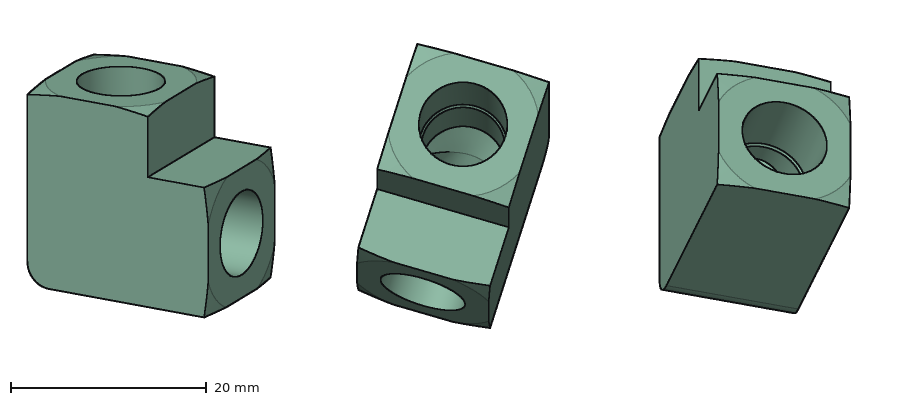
import cadquery as cq
import math

overall_length = 21.13
arm_width = 14.1
heel_radius = 2.54
end_face_radius = 7.73
end_chamfer_angle = 12.0
mouth_radius = 4.52
bore_radius = 4.29
mouth_depth = 7.4
bore_depth = 13.95

arm_axis = arm_width / 2
corner_radius = math.hypot(arm_axis, arm_axis)
chamfer_drop = (corner_radius - end_face_radius) * math.tan(math.radians(end_chamfer_angle))


def elbow_block():
    """L-shaped block with a rounded heel, its width centred on Y = 0."""
    outline = [
        (0, 0),
        (overall_length, 0),
        (overall_length, arm_width),
        (arm_width, arm_width),
        (arm_width, overall_length),
        (0, overall_length),
    ]
    block = cq.Workplane("XZ").polyline(outline).close().extrude(arm_axis, both=True)
    return block.edges("|Y and <X and <Z").fillet(heel_radius)


def revolved_about_upright_axis(profile):
    """Turn a closed (radius, height) profile about the upright arm's axis."""
    turned = cq.Workplane("XZ").polyline(profile).close().revolve(360, (0, 0), (0, 1))
    return turned.translate((arm_axis, 0, 0))


def end_chamfer_cutter():
    """Ring that bevels the four corners of the upright arm's end face."""
    return revolved_about_upright_axis([
        (end_face_radius, overall_length),
        (corner_radius, overall_length),
        (corner_radius, overall_length - chamfer_drop),
    ])


def bore_cutter():
    """Wider mouth with a 45 degree shoulder, then a bore with a 90 degree conical bottom.

    The two bores mirror each other and each stops at the mitre plane X = Z.
    """
    bore_end = overall_length - bore_depth
    shoulder_top = overall_length - mouth_depth
    bore = revolved_about_upright_axis([
        (0, overall_length),
        (mouth_radius, overall_length),
        (mouth_radius, shoulder_top),
        (bore_radius, shoulder_top - (mouth_radius - bore_radius)),
        (bore_radius, bore_end),
        (0, bore_end - bore_radius),
    ])
    upper_side = [(0, 0), (overall_length, overall_length), (0, overall_length)]
    mitre_wedge = cq.Workplane("XZ").polyline(upper_side).close().extrude(arm_axis, both=True)
    return bore.intersect(mitre_wedge)


def for_side_arm(cutter):
    """Swap X and Z by mirroring in Z = 0 and turning a quarter about Y."""
    return cutter.mirror("XY").rotate((0, 0, 0), (0, 1, 0), -90)


result = elbow_block()
for cutter in (end_chamfer_cutter(), bore_cutter()):
    result = result.cut(cutter).cut(for_side_arm(cutter))